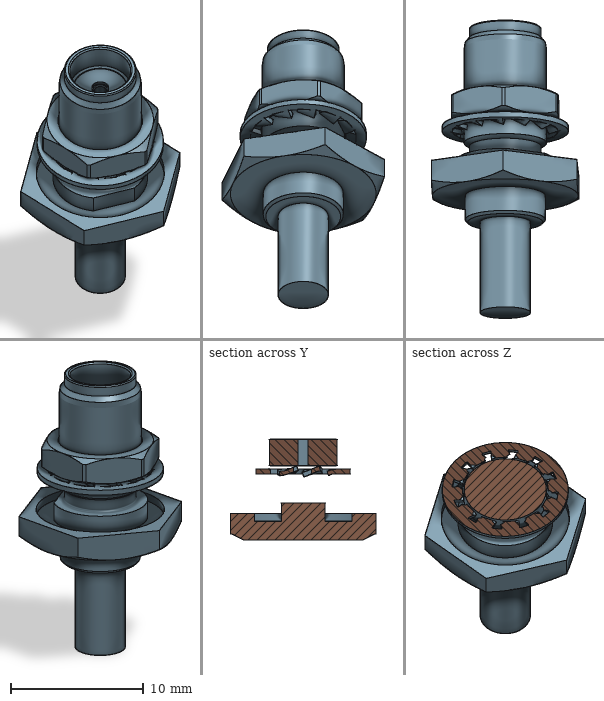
import cadquery as cq
import math

TUBE_BOTTOM = 0.0
BOSS_BOTTOM = 7.03
HEX_BOTTOM = 9.08
GROOVE_FLOOR = 10.52
HEX_TOP = 11.12
FLANGE_TOP = 11.91
NECK_TOP = 12.9
THREAD_BOTTOM = 13.17
THREAD_TAPER_START = 20.49
THREAD_TOP = 20.93
TIP_BOTTOM = 21.3
TIP_TOP = 22.1

TUBE_RADIUS = 1.9
BOSS_RADIUS = 3.03
FLANGE_RADIUS = 3.58
NECK_RADIUS = 2.72
THREAD_RADIUS = 3.12
THREAD_TOP_RADIUS = 3.05
GROOVE_RADIUS = 4.85

HEX_ACROSS_FLATS = 11.0
FLANGE_FLAT_DISTANCE = 3.18
BOSS_CHAMFER = 0.2
NECK_FILLET = 0.2
TIP_CHAMFER = 0.09

HEX_CHAMFER_ANGLE = math.radians(30)
HALF_HEX_STEP = math.pi / 6

BORE_RADIUS = 2.3
BORE_CHAMFER = 0.1
BORE_DEPTH = 1.88
INSULATOR_RADIUS = 2.03
INSULATOR_RECESS = 0.07
CONTACT_RADIUS = 0.65
CONTACT_RECESS = 0.2
CONTACT_HOLE_RADIUS = 0.45
CONTACT_HOLE_CHAMFER = 0.09
CONTACT_HOLE_DEPTH = 2.0

NUT_BOTTOM = 14.7
NUT_HEIGHT = 2.03
NUT_ACROSS_FLATS = 8.05
NUT_CORNER_RADIUS = 4.57
NUT_BORE_CLEARANCE = 0.07

WASHER_BOTTOM = 14.08
WASHER_THICKNESS = 0.4
WASHER_RADIUS = 4.77
WASHER_RING_BORE_RADIUS = 4.0
TOOTH_TIP_RADIUS = 3.3
TOOTH_COUNT = 12
TOOTH_ROOT_DEPTH = 0.1
TOOTH_WIDTH = 1.4
TOOTH_THICKNESS = 0.38
TOOTH_TWIST = 22.0
FIRST_TOOTH_ANGLE = 19.0


def cylinder(radius, bottom, top):
    return cq.Workplane("XY").workplane(offset=bottom).circle(radius).extrude(top - bottom)


def funnel(hole_radius, chamfer, top):
    """Cone that chamfers the mouth of a hole at 45 degrees."""
    cone = cq.Solid.makeCone(
        hole_radius, hole_radius + chamfer, chamfer, pnt=cq.Vector(0, 0, top - chamfer)
    )
    return cq.Workplane(cone)


def hexagon(across_flats, bottom, top):
    """Hexagonal prism with two flats facing +X and -X."""
    corner_diameter = across_flats / math.cos(HALF_HEX_STEP)
    prism = cq.Workplane("XY").polygon(6, corner_diameter).extrude(top - bottom)
    return prism.rotate((0, 0, 0), (0, 0, 1), math.degrees(HALF_HEX_STEP)).translate((0, 0, bottom))


def corner_drop(corner_radius, across_flats):
    """Height of the conical chamfer from the flats' distance out to the corners."""
    return (corner_radius - across_flats / 2) * math.tan(HEX_CHAMFER_ANGLE)


def make_base_hexagon():
    corner_radius = HEX_ACROSS_FLATS / 2 / math.cos(HALF_HEX_STEP)
    drop = corner_drop(corner_radius, HEX_ACROSS_FLATS)
    envelope = cylinder(corner_radius, HEX_BOTTOM, HEX_TOP)
    envelope = envelope.faces("<Z").chamfer(drop, corner_radius - HEX_ACROSS_FLATS / 2)
    groove = cylinder(GROOVE_RADIUS, GROOVE_FLOOR, HEX_TOP)
    return hexagon(HEX_ACROSS_FLATS, HEX_BOTTOM, HEX_TOP).intersect(envelope).cut(groove)


def make_flange():
    """Round flange with one flat facing +X."""
    width = FLANGE_RADIUS + FLANGE_FLAT_DISTANCE
    height = FLANGE_TOP - GROOVE_FLOOR
    flat_limit = cq.Workplane("XY").box(width, 2 * FLANGE_RADIUS, height, centered=(False, True, False))
    flat_limit = flat_limit.translate((-FLANGE_RADIUS, 0, GROOVE_FLOOR))
    return cylinder(FLANGE_RADIUS, GROOVE_FLOOR, FLANGE_TOP).intersect(flat_limit)


def make_barrel():
    """Neck, threaded barrel and tip, turned around Z."""
    fillet_middle = NECK_FILLET * (1 - math.sqrt(0.5))
    profile = (
        cq.Workplane("XZ")
        .moveTo(0, FLANGE_TOP)
        .lineTo(NECK_RADIUS + NECK_FILLET, FLANGE_TOP)
        .threePointArc(
            (NECK_RADIUS + fillet_middle, FLANGE_TOP + fillet_middle),
            (NECK_RADIUS, FLANGE_TOP + NECK_FILLET),
        )
        .lineTo(NECK_RADIUS, NECK_TOP)
        .lineTo(THREAD_RADIUS, THREAD_BOTTOM)
        .lineTo(THREAD_RADIUS, THREAD_TAPER_START)
        .lineTo(THREAD_TOP_RADIUS, THREAD_TOP)
        .lineTo(NECK_RADIUS, TIP_BOTTOM)
        .lineTo(NECK_RADIUS, TIP_TOP)
        .lineTo(0, TIP_TOP)
        .close()
    )
    return profile.revolve(360, (0, 0, 0), (0, 1, 0)).faces(">Z").chamfer(TIP_CHAMFER)


def make_socket():
    """Space removed from the tip, down to the insulator and the contact's end face."""
    bore_floor = TIP_TOP - BORE_DEPTH
    insulator_face = bore_floor - INSULATOR_RECESS
    bore = cylinder(BORE_RADIUS, bore_floor, TIP_TOP)
    mouth = funnel(BORE_RADIUS, BORE_CHAMFER, TIP_TOP)
    recess = cylinder(INSULATOR_RADIUS, insulator_face, bore_floor)
    contact_recess = cylinder(CONTACT_RADIUS, insulator_face - CONTACT_RECESS, insulator_face)
    return bore.union(mouth).union(recess).union(contact_recess)


def make_contact_hole():
    top = TIP_TOP - BORE_DEPTH - INSULATOR_RECESS - CONTACT_RECESS
    hole = cylinder(CONTACT_HOLE_RADIUS, top - CONTACT_HOLE_DEPTH, top)
    return hole.union(funnel(CONTACT_HOLE_RADIUS, CONTACT_HOLE_CHAMFER, top))


def make_housing():
    tube = cylinder(TUBE_RADIUS, TUBE_BOTTOM, BOSS_BOTTOM)
    boss = cylinder(BOSS_RADIUS, BOSS_BOTTOM, HEX_BOTTOM).faces("<Z").chamfer(BOSS_CHAMFER)
    housing = tube.union(boss).union(make_base_hexagon()).union(make_flange()).union(make_barrel())
    return housing.cut(make_socket()).cut(make_contact_hole())


def make_nut():
    top = NUT_BOTTOM + NUT_HEIGHT
    drop = corner_drop(NUT_CORNER_RADIUS, NUT_ACROSS_FLATS)
    envelope = cylinder(NUT_CORNER_RADIUS, NUT_BOTTOM, top)
    envelope = envelope.faces("<Z or >Z").chamfer(drop, NUT_CORNER_RADIUS - NUT_ACROSS_FLATS / 2)
    bore = cylinder(THREAD_RADIUS + NUT_BORE_CLEARANCE, NUT_BOTTOM, top)
    return hexagon(NUT_ACROSS_FLATS, NUT_BOTTOM, top).intersect(envelope).cut(bore)


def tooth_section(distance, twist):
    """Tooth cross-section at a distance from the axis, facing +X and tilted about X."""
    section = cq.Workplane("YZ").rect(TOOTH_WIDTH, TOOTH_THICKNESS).val()
    section = section.rotate(cq.Vector(0, 0, 0), cq.Vector(1, 0, 0), twist)
    return section.translate(cq.Vector(distance, 0, WASHER_BOTTOM + WASHER_THICKNESS / 2))


def make_tooth(angle):
    """Washer tooth, level at its root in the ring and twisted at its tip up to the nut."""
    tip_distance = math.sqrt(TOOTH_TIP_RADIUS**2 - (TOOTH_WIDTH / 2) ** 2)
    root = tooth_section(WASHER_RING_BORE_RADIUS + TOOTH_ROOT_DEPTH, 0)
    tip = tooth_section(tip_distance, -TOOTH_TWIST)
    tooth = cq.Solid.makeLoft([root, tip], True)
    return cq.Workplane(tooth).rotate((0, 0, 0), (0, 0, 1), angle)


def make_nut_with_washer():
    washer_top = WASHER_BOTTOM + WASHER_THICKNESS
    ring = cylinder(WASHER_RADIUS, WASHER_BOTTOM, washer_top)
    body = ring.cut(cylinder(WASHER_RING_BORE_RADIUS, WASHER_BOTTOM, washer_top))
    for index in range(TOOTH_COUNT):
        body = body.union(make_tooth(FIRST_TOOTH_ANGLE + index * 360 / TOOTH_COUNT))
    return body.union(make_nut())


housing = make_housing()
nut_with_washer = make_nut_with_washer()

result = cq.Compound.makeCompound([housing.val(), nut_with_washer.val()])